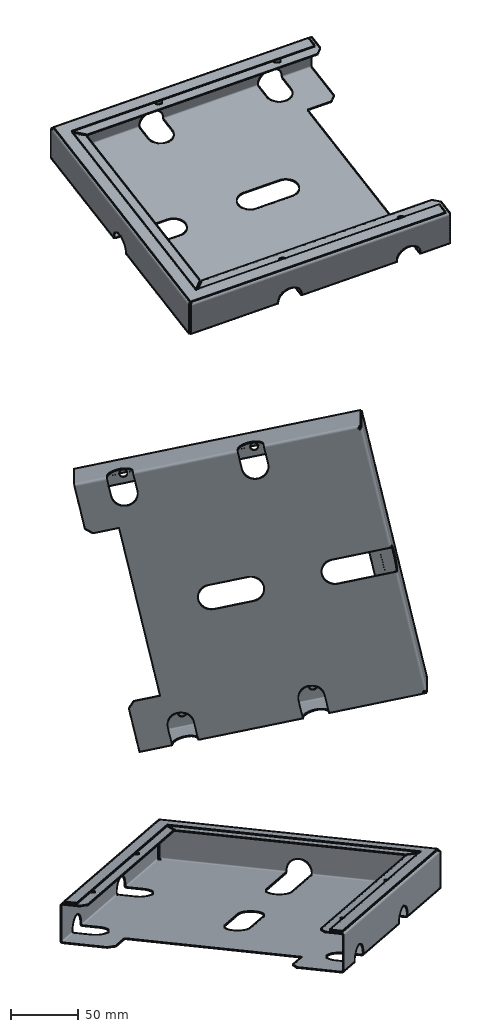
import cadquery as cq
import math

width = 224.0
depth = 220.0
total_height = 32.0
gasket_thickness = 1.0
sheet = 0.9
bend_outer = 2.0
lip_width = 20.0
mitre_offset = 1.0
corner_cut = 5.0

tab_width = 42.0
notch_depth = 25.0

slot_width = 20.0
side_slot_positions = (85.0, 185.0)
side_slot_reach = 25.5
front_slot_reach = 55.5
wall_slot_height = 12.0
centre_slot_length = 50.0
centre_slot_y = 125.0

lip_hole_diameter = 6.0

gasket_width = 10.0
gasket_rear_gap = 3.0

tray_height = total_height - gasket_thickness
bend_inner = bend_outer - sheet
slot_radius = slot_width / 2
mid_x = width / 2
gasket_outer = bend_outer
gasket_inner = gasket_outer + gasket_width


def mirrored(body):
    """The same body on the opposite X side of the tray."""
    return body.mirror("YZ", (mid_x, 0, 0))


def flange_section(plane):
    """Closed section of a bend, wall, bend and lip; local x runs inward, local y is up."""
    diagonal = math.sqrt(0.5)
    outer_mid = bend_outer * (1 - diagonal)
    inner_mid = bend_outer - bend_inner * diagonal
    return (
        cq.Workplane(plane)
        .moveTo(bend_outer, 0)
        .threePointArc((outer_mid, outer_mid), (0, bend_outer))
        .lineTo(0, tray_height - bend_outer)
        .threePointArc((outer_mid, tray_height - outer_mid), (bend_outer, tray_height))
        .lineTo(lip_width, tray_height)
        .lineTo(lip_width, tray_height - sheet)
        .lineTo(bend_outer, tray_height - sheet)
        .threePointArc((inner_mid, tray_height - inner_mid), (sheet, tray_height - bend_outer))
        .lineTo(sheet, bend_outer)
        .threePointArc((inner_mid, inner_mid), (bend_outer, sheet))
        .close()
    )


def left_flange():
    """Wall and lip along the left edge, mitred at the front and corner-cut at the rear."""
    section_plane = cq.Plane(origin=(0, 0, 0), xDir=(1, 0, 0), normal=(0, -1, 0))
    plan = (
        cq.Workplane("XY")
        .polyline([
            (0, mitre_offset),
            (0, depth),
            (lip_width - corner_cut, depth),
            (lip_width, depth - corner_cut),
            (lip_width, lip_width + mitre_offset),
        ])
        .close()
        .extrude(tray_height)
    )
    return flange_section(section_plane).extrude(-depth).intersect(plan)


def front_flange():
    """Wall and lip along the front edge, mitred at both ends."""
    section_plane = cq.Plane(origin=(0, 0, 0), xDir=(0, 1, 0), normal=(1, 0, 0))
    lip_end = lip_width + mitre_offset
    plan = (
        cq.Workplane("XY")
        .polyline([
            (mitre_offset, 0),
            (width - mitre_offset, 0),
            (width - lip_end, lip_width),
            (lip_end, lip_width),
        ])
        .close()
        .extrude(tray_height)
    )
    return flange_section(section_plane).extrude(width).intersect(plan)


def floor_plate():
    """Flat floor between the bends, with a rear notch that leaves two tabs."""
    notch_y = depth - notch_depth
    return (
        cq.Workplane("XY")
        .polyline([
            (bend_outer, bend_outer),
            (width - bend_outer, bend_outer),
            (width - bend_outer, depth),
            (width - tab_width + corner_cut, depth),
            (width - tab_width, depth - corner_cut),
            (width - tab_width, notch_y),
            (tab_width, notch_y),
            (tab_width, depth - corner_cut),
            (tab_width - corner_cut, depth),
            (bend_outer, depth),
        ])
        .close()
        .extrude(sheet)
    )


def edge_slot(reach):
    """Cutter for a slot that runs along +X in the floor from x = 0 and up the wall there."""
    straight = reach - slot_radius
    wall_centre_z = wall_slot_height - slot_radius
    floor_part = (
        cq.Workplane("XY")
        .rect(2 * straight, slot_width)
        .extrude(bend_outer)
        .union(cq.Workplane("XY").center(straight, 0).circle(slot_radius).extrude(bend_outer))
    )
    wall_part = (
        cq.Workplane("YZ")
        .center(0, wall_centre_z)
        .circle(slot_radius)
        .extrude(bend_outer)
    )
    return floor_part.union(wall_part)


def make_tray():
    """Folded sheet tray with its slots and lip holes."""
    left = left_flange()
    tray = floor_plate().union(front_flange()).union(left).union(mirrored(left))

    for y in side_slot_positions:
        slot = edge_slot(side_slot_reach).translate((0, y, 0))
        hole = (
            cq.Workplane("XY", origin=(gasket_inner, y, tray_height - sheet))
            .circle(lip_hole_diameter / 2)
            .extrude(sheet)
        )
        for cutter in (slot, hole):
            tray = tray.cut(cutter).cut(mirrored(cutter))

    front_slot = edge_slot(front_slot_reach).rotate((0, 0, 0), (0, 0, 1), 90).translate((mid_x, 0, 0))
    centre_slot = (
        cq.Workplane("XY")
        .center(mid_x, centre_slot_y)
        .slot2D(centre_slot_length, slot_width, 90)
        .extrude(sheet)
    )
    return tray.cut(front_slot).cut(centre_slot).solids()


def make_gasket():
    """U-shaped strip lying on the lips, open at the rear."""
    rear = depth - gasket_rear_gap
    return (
        cq.Workplane("XY", origin=(0, 0, tray_height))
        .polyline([
            (gasket_outer, gasket_outer),
            (width - gasket_outer, gasket_outer),
            (width - gasket_outer, rear),
            (width - gasket_inner, rear),
            (width - gasket_inner, gasket_inner),
            (gasket_inner, gasket_inner),
            (gasket_inner, rear),
            (gasket_outer, rear),
        ])
        .close()
        .extrude(gasket_thickness)
    )


tray = make_tray()
gasket = make_gasket()

result = cq.Compound.makeCompound([tray.val(), gasket.val()])